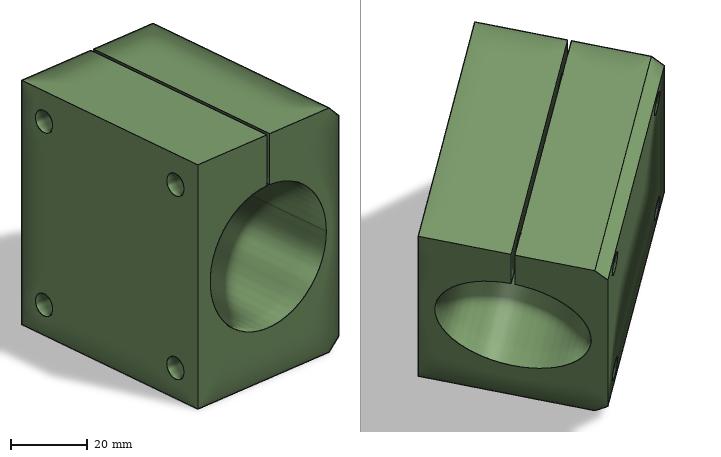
import cadquery as cq

width = 67.0
depth = 51.0
height = 72.0
edge_chamfer = 3.5

bore_diameter = 42.0
slit_width = 1.0

hole_diameter = 6.5
hole_spacing_x = 50.0
hole_spacing_z = 54.0


def make_block():
    """Block with its long top and bottom edges chamfered on the +Y side."""
    block = cq.Workplane("XY").box(width, depth, height)
    return block.faces(">Y").edges("|X").chamfer(edge_chamfer)


def make_bore():
    """Cylinder through the full width, on the block's centre axis."""
    return cq.Workplane("YZ", origin=(-width / 2, 0, 0)).circle(bore_diameter / 2).extrude(width)


def make_slit():
    """Slit from the bore axis up through the top face."""
    return cq.Workplane("XY").box(width, slit_width, height / 2, centered=(True, True, False))


def make_mounting_holes():
    """Four through holes in a rectangular pattern."""
    return (
        cq.Workplane("XZ", origin=(0, depth / 2, 0))
        .rarray(hole_spacing_x, hole_spacing_z, 2, 2)
        .circle(hole_diameter / 2)
        .extrude(depth)
    )


result = make_block().cut(make_bore()).cut(make_slit()).cut(make_mounting_holes())